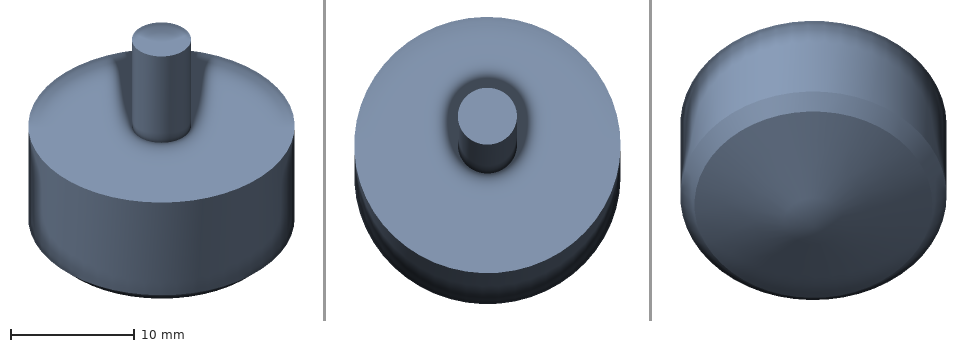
import cadquery as cq

total_height = 21.8
body_diameter = 21.6
pin_diameter = 4.8
pin_length = 8.57
chamfer_size = 1.15
cone_height = 2.88

body_radius = body_diameter / 2
pin_radius = pin_diameter / 2
cone_radius = body_radius - chamfer_size
body_bottom = cone_height + chamfer_size
body_top = total_height - pin_length

half_profile = (
    cq.Workplane("XZ")
    .moveTo(0, 0)
    .lineTo(cone_radius, cone_height)
    .lineTo(body_radius, body_bottom)
    .lineTo(body_radius, body_top)
    .lineTo(pin_radius, body_top)
    .lineTo(pin_radius, total_height)
    .lineTo(0, total_height)
    .close()
)

result = half_profile.revolve(360, (0, 0, 0), (0, 1, 0))